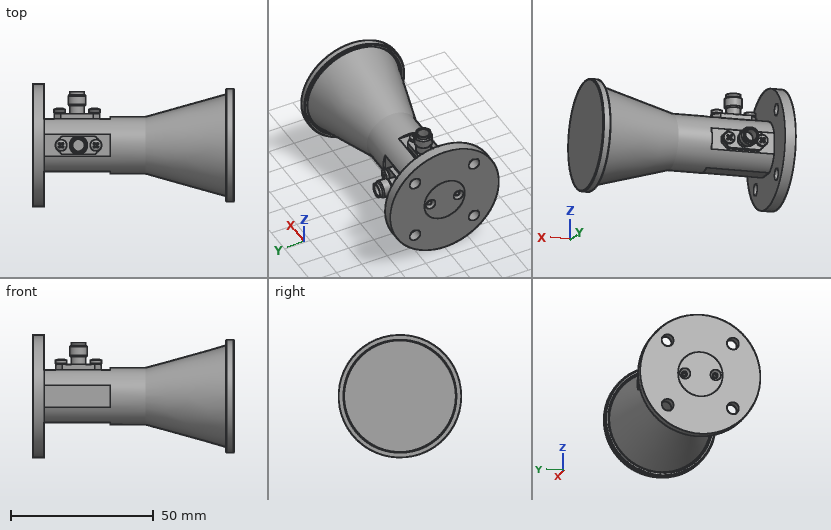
import cadquery as cq
import math


total_length = 70.5
flange_radius = 21.5
flange_thickness = 4.0
tube_radius = 10.0
tube_end = 39.5
bore_radius = 8.0
wall = tube_radius - bore_radius
mouth_radius = 18.15

bolt_circle_radius = 16.5
bolt_hole_diameter = 4.2
bolt_count = 4
bolt_start_angle = 45.0

flat_distance = 9.25
flat_end = 27.1
flat_angles = (0, 90, 180, 270)

cap_radius = 19.85
cap_thickness = 2.9
cap_chamfer = 0.35
cap_recess_radius = 18.7
cap_recess_depth = 1.0
cap_start = total_length - cap_thickness
mouth_x = cap_start + cap_recess_depth

plug_thickness = flange_thickness
spanner_offset = 5.5
spanner_seat_radius = 0.95
spanner_radius = 0.7
spanner_sink_radius = 1.9
spanner_sink_depth = 0.95
spanner_depth = 2.2
spanner_tip_depth = 0.55

plate_length = 16.0
plate_width = 6.4
plate_thickness = 1.85
plate_corner = 2.25
neck_radius = 2.6
sleeve_radius = 3.12
socket_radius = 2.1
socket_chamfer = 0.25
sleeve_bevel = sleeve_radius - neck_radius
sleeve_bottom = 4.5
sleeve_top = 8.5
connector_height = 9.5
socket_depth = 5.0
top_connector_x = 16.0
side_connector_x = 15.5

screw_spacing = 12.2
screw_shank_radius = 1.2
screw_bite = 1.0
head_radius = 2.0
head_foot_radius = 1.6
head_foot_height = 0.4
head_rim_height = 1.4
head_height = 1.9
recess_span = 2.1
recess_slot = 0.5
recess_depth = 0.9
recess_angles = (45, 135)
screw_offsets = (-screw_spacing / 2, screw_spacing / 2)


def seat_on_top(body):
    """Move a body from the local seat onto the +Z flat."""
    return body.translate((top_connector_x, 0, flat_distance))


def seat_on_side(body):
    """Move a body from the local seat onto the +Y flat."""
    turned = body.rotate((0, 0, 0), (1, 0, 0), -90)
    return turned.translate((side_connector_x, flat_distance, 0))


seats = (seat_on_top, seat_on_side)


def revolve_about_x(outline):
    """Revolve (x, radius) points about the X axis."""
    return cq.Workplane("XY").polyline(outline).close().revolve(360, (0, 0, 0), (1, 0, 0))


def make_housing():
    body = revolve_about_x([
        (0, bore_radius),
        (0, flange_radius),
        (flange_thickness, flange_radius),
        (flange_thickness, tube_radius),
        (tube_end, tube_radius),
        (mouth_x, mouth_radius),
        (mouth_x, mouth_radius - wall),
        (tube_end, bore_radius),
    ])
    bolt_holes = (
        cq.Workplane("YZ")
        .polarArray(bolt_circle_radius, bolt_start_angle, 360, bolt_count)
        .circle(bolt_hole_diameter / 2)
        .extrude(flange_thickness)
    )
    body = body.cut(bolt_holes)

    flat_length = flat_end - flange_thickness
    flat_cutter = (
        cq.Workplane("XY")
        .box(flat_length, 2 * tube_radius, tube_radius, centered=(False, True, False))
        .translate((flange_thickness, 0, flat_distance))
    )
    for angle in flat_angles:
        body = body.cut(flat_cutter.rotate((0, 0, 0), (1, 0, 0), angle))

    for seat in seats:
        for offset in screw_offsets:
            screw_hole = (
                cq.Workplane("XY").center(offset, 0).circle(screw_shank_radius).extrude(-screw_bite)
            )
            body = body.cut(seat(screw_hole))
    return body


def make_cap():
    disc = cq.Workplane("YZ").workplane(offset=cap_start).circle(cap_radius).extrude(cap_thickness)
    recess = (
        cq.Workplane("YZ").workplane(offset=cap_start).circle(cap_recess_radius).extrude(cap_recess_depth)
    )
    return disc.edges().chamfer(cap_chamfer).cut(recess)


def make_plug():
    plug = cq.Workplane("YZ").circle(bore_radius).extrude(plug_thickness)
    spanner_hole = revolve_about_x([
        (0, 0),
        (0, spanner_sink_radius),
        (spanner_sink_depth, spanner_seat_radius),
        (spanner_sink_depth, spanner_radius),
        (spanner_depth, spanner_radius),
        (spanner_depth + spanner_tip_depth, 0),
    ])
    for side in (-spanner_offset, spanner_offset):
        plug = plug.cut(spanner_hole.translate((0, side, 0)))
    return plug


def make_connector():
    plate = (
        cq.Workplane("XY")
        .rect(plate_length, plate_width)
        .extrude(plate_thickness)
        .edges("|Z")
        .chamfer(plate_corner)
        .faces(">Z")
        .workplane()
        .pushPoints([(offset, 0) for offset in screw_offsets])
        .circle(screw_shank_radius)
        .cutThruAll()
    )
    barrel = (
        cq.Workplane("XZ")
        .polyline([
            (0, 0),
            (neck_radius, 0),
            (neck_radius, sleeve_bottom),
            (sleeve_radius, sleeve_bottom + sleeve_bevel),
            (sleeve_radius, sleeve_top - sleeve_bevel),
            (neck_radius, sleeve_top),
            (neck_radius, connector_height),
            (socket_radius + socket_chamfer, connector_height),
            (socket_radius, connector_height - socket_chamfer),
            (socket_radius, connector_height - socket_depth),
            (0, connector_height - socket_depth),
        ])
        .close()
        .revolve(360, (0, 0, 0), (0, 1, 0))
    )
    return plate.union(barrel)


def make_screw():
    """Cross-recessed screw centred on the local Z axis, head resting on the connector plate."""
    rim = plate_thickness + head_rim_height
    crown = plate_thickness + head_height
    dome_rise = crown - rim
    dome_radius = (head_radius**2 + dome_rise**2) / (2 * dome_rise)
    dome_centre = crown - dome_radius
    half_angle = math.asin(head_radius / dome_radius) / 2
    dome_mid = (dome_radius * math.sin(half_angle), dome_centre + dome_radius * math.cos(half_angle))
    screw = (
        cq.Workplane("XZ")
        .moveTo(0, -screw_bite)
        .lineTo(screw_shank_radius, -screw_bite)
        .lineTo(screw_shank_radius, plate_thickness)
        .lineTo(head_foot_radius, plate_thickness)
        .lineTo(head_radius, plate_thickness + head_foot_height)
        .lineTo(head_radius, rim)
        .threePointArc(dome_mid, (0, crown))
        .close()
        .revolve(360, (0, 0, 0), (0, 1, 0))
    )
    for angle in recess_angles:
        slot = (
            cq.Workplane("XY")
            .workplane(offset=crown)
            .transformed(rotate=(0, 0, angle))
            .rect(recess_span, recess_slot)
            .extrude(-recess_depth)
        )
        screw = screw.cut(slot)
    return screw


housing = make_housing()
cap = make_cap()
plug = make_plug()
connectors = [seat(make_connector()) for seat in seats]
screws = [
    seat(make_screw().translate((offset, 0, 0)))
    for seat in seats
    for offset in screw_offsets
]

bodies = [housing, cap, plug, *connectors, *screws]
result = cq.Compound.makeCompound([body.val() for body in bodies])